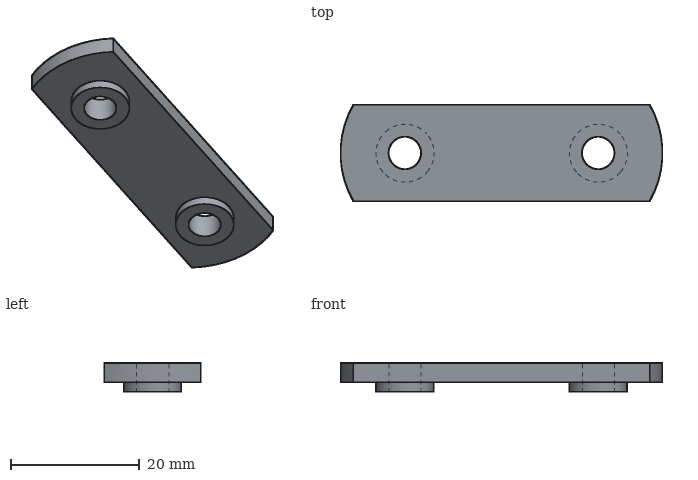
import cadquery as cq
import math

length = 50.0
width = 15.0
plate_thickness = 3.0
end_radius = 15.0

boss_diameter = 9.0
boss_height = 1.5
hole_diameter = 5.0
hole_spacing = 30.0

half_length = length / 2
half_width = width / 2
end_arc_depth = end_radius - math.sqrt(end_radius**2 - half_width**2)
corner_x = half_length - end_arc_depth
hole_centers = [(-hole_spacing / 2, 0), (hole_spacing / 2, 0)]


def make_plate():
    """Flat bar with bowed ends, its underside at Z = 0."""
    return (
        cq.Workplane("XY")
        .moveTo(-corner_x, -half_width)
        .lineTo(corner_x, -half_width)
        .threePointArc((half_length, 0), (corner_x, half_width))
        .lineTo(-corner_x, half_width)
        .threePointArc((-half_length, 0), (-corner_x, -half_width))
        .close()
        .extrude(plate_thickness)
    )


def make_cylinders(diameter, bottom, height):
    """One upright cylinder at each hole center."""
    return (
        cq.Workplane("XY", origin=(0, 0, bottom))
        .pushPoints(hole_centers)
        .circle(diameter / 2)
        .extrude(height)
    )


bosses = make_cylinders(boss_diameter, -boss_height, boss_height)
holes = make_cylinders(hole_diameter, -boss_height, boss_height + plate_thickness)

result = make_plate().union(bosses).cut(holes)